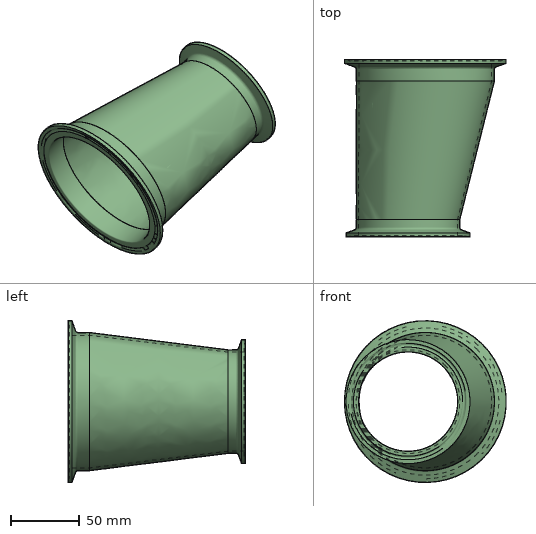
import cadquery as cq
import math

total_length = 130.2
large_ferrule_length = 15.9
small_ferrule_length = 12.8

large_tube_radius = 50.8
large_flange_radius = 59.44
large_wall = 2.1
small_tube_radius = 38.08
small_flange_radius = 45.5
small_wall = 1.7

rim_thickness = 2.9
flange_back_angle = 20.0
neck_fillet = 1.63
mouth_fillet = 0.8
groove_inset = 4.1
groove_half_width = 1.4
groove_depth = 1.0
groove_edge_fillet = 0.5

large_axis_x = 0.0
small_axis_x = large_axis_x - (large_tube_radius - small_tube_radius)
front_y = -total_length / 2
back_y = total_length / 2
small_joint_y = front_y + small_ferrule_length
large_joint_y = back_y - large_ferrule_length


def make_ferrule(tube_radius, flange_radius, wall, length):
    """Ferrule revolved about Y, with its sealing face at Y = 0 and its tube toward +Y."""
    bore_radius = tube_radius - wall
    groove_radius = flange_radius - groove_inset
    back_rise = (flange_radius - tube_radius) * math.tan(math.radians(flange_back_angle))
    neck_y = rim_thickness + back_rise
    groove_inner = groove_radius - groove_half_width
    groove_outer = groove_radius + groove_half_width

    ferrule = (
        cq.Workplane("XY")
        .moveTo(bore_radius, 0)
        .lineTo(groove_inner, 0)
        .threePointArc((groove_radius, groove_depth), (groove_outer, 0))
        .lineTo(flange_radius, 0)
        .lineTo(flange_radius, rim_thickness)
        .lineTo(tube_radius, neck_y)
        .lineTo(tube_radius, length)
        .lineTo(bore_radius, length)
        .close()
        .revolve(360, (0, 0, 0), (0, 1, 0))
    )
    ferrule = ferrule.edges(edge_at(tube_radius, neck_y)).fillet(neck_fillet)
    ferrule = ferrule.edges(edge_at(bore_radius, 0)).fillet(mouth_fillet)
    for edge_radius in (groove_inner, groove_outer):
        ferrule = ferrule.edges(edge_at(edge_radius, 0)).fillet(groove_edge_fillet)
    return ferrule


def edge_at(radius, y):
    """Selector for the circular edge of this radius around Y at this Y position."""
    margin = 0.07
    outer = cq.selectors.BoxSelector(
        (-radius - margin, y - margin, -radius - margin),
        (radius + margin, y + margin, radius + margin),
        boundingbox=True,
    )
    inner_radius = radius - margin
    inner = cq.selectors.BoxSelector(
        (-inner_radius, y - margin, -inner_radius),
        (inner_radius, y + margin, inner_radius),
        boundingbox=True,
    )
    return outer - inner


def make_eccentric_cone(small_radius, large_radius):
    """Solid lofted between circles on the two tube axes at the ferrule joints."""
    return (
        cq.Workplane("XZ", origin=(0, small_joint_y, 0))
        .center(small_axis_x, 0)
        .circle(small_radius)
        .workplane(offset=small_joint_y - large_joint_y)
        .center(large_axis_x - small_axis_x, 0)
        .circle(large_radius)
        .loft(ruled=True)
    )


def make_reducer():
    """Thin eccentric cone joining the two ferrules."""
    outside = make_eccentric_cone(small_tube_radius, large_tube_radius)
    inside = make_eccentric_cone(small_tube_radius - small_wall, large_tube_radius - large_wall)
    return outside.cut(inside)


small_ferrule = make_ferrule(
    small_tube_radius, small_flange_radius, small_wall, small_ferrule_length
).translate((small_axis_x, front_y, 0))

large_ferrule = (
    make_ferrule(large_tube_radius, large_flange_radius, large_wall, large_ferrule_length)
    .rotate((0, 0, 0), (0, 0, 1), 180)
    .translate((large_axis_x, back_y, 0))
)

reducer = make_reducer()

bodies = [small_ferrule, reducer, large_ferrule]
result = cq.Compound.makeCompound([body.solids().val() for body in bodies])